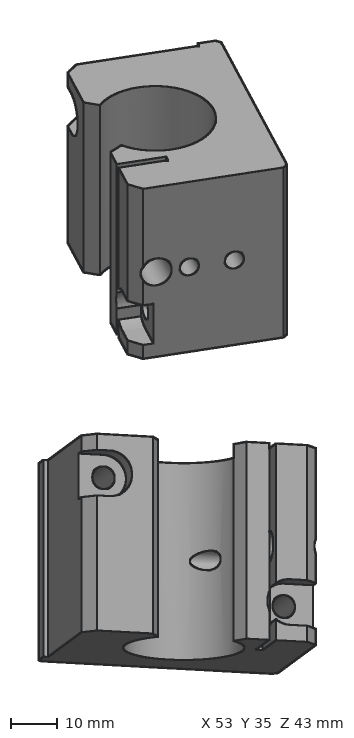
import cadquery as cq
import math

length = 53.0
depth = 35.0
height = 43.0
right = length / 2
left = -right
back = depth / 2
front = -back

ledge_step = 1.0
ledge_depth = 5.0
back_chamfer = 1.0
front_chamfer = 2.7

bore_radius = 13.0
bore_y = front + 13.0
throat_half_width = 8.4
mouth_half_width = 10.4

slot_left = 15.4
slot_width = 1.5
slot_depth = 10.95

mount_x = 20.0
mount_z = 13.0
mount_radius = 2.5
seat_radius = 5.0
seat_depth = 5.0

cross_radius = 2.1
cross_spacing = 10.0
clamp_radius = 3.4
clamp_y = front + 5.65


def box(x_min, x_max, y_min, y_max, z_min, z_max):
    """Box spanning the given limits."""
    return cq.Workplane("XY").box(
        x_max - x_min, y_max - y_min, z_max - z_min, centered=False
    ).translate((x_min, y_min, z_min))


def make_body():
    """Extrude the block profile with its open bore."""
    wall_left = left + ledge_step
    ledge_front = back - ledge_depth
    throat_y = bore_y - math.sqrt(bore_radius**2 - throat_half_width**2)
    profile = (
        cq.Workplane("XY", origin=(0, 0, -height / 2))
        .moveTo(left + back_chamfer, back)
        .lineTo(right - back_chamfer, back)
        .lineTo(right, back - back_chamfer)
        .lineTo(right, front + front_chamfer)
        .lineTo(right - front_chamfer, front)
        .lineTo(mouth_half_width, front)
        .lineTo(throat_half_width, throat_y)
        .threePointArc((0, bore_y + bore_radius), (-throat_half_width, throat_y))
        .lineTo(-mouth_half_width, front)
        .lineTo(wall_left + front_chamfer, front)
        .lineTo(wall_left, front + front_chamfer)
        .lineTo(wall_left, ledge_front)
        .lineTo(left, ledge_front)
        .lineTo(left, back - back_chamfer)
        .close()
    )
    return profile.extrude(height)


def make_slot():
    """Clamping slot, open at the front and along the full height."""
    return box(slot_left, slot_left + slot_width, front, front + slot_depth, -height / 2, height / 2)


def make_mount(side):
    """Through hole and seat at the left (side = -1) or right (side = 1)."""
    x = side * mount_x
    z = -side * mount_z
    start = cq.Vector(x, front, z)
    along_y = cq.Vector(0, 1, 0)
    hole = cq.Solid.makeCylinder(mount_radius, depth, start, along_y)
    seat_end = cq.Solid.makeCylinder(seat_radius, seat_depth, start, along_y)
    edge = side * right
    seat_run = box(min(x, edge), max(x, edge), front, front + seat_depth, z - seat_radius, z + seat_radius)
    return seat_run.union(cq.Workplane(seat_end)).union(cq.Workplane(hole))


def make_cross_hole(y, radius, inner_x):
    """Hole along X from inner_x out through the right side."""
    start = cq.Vector(inner_x, y, 0)
    return cq.Workplane(cq.Solid.makeCylinder(radius, right - inner_x, start, cq.Vector(1, 0, 0)))


result = make_body().cut(make_slot())

for side in (-1, 1):
    result = result.cut(make_mount(side))

for y in (bore_y, bore_y + cross_spacing):
    result = result.cut(make_cross_hole(y, cross_radius, 0))

result = result.cut(make_cross_hole(clamp_y, clamp_radius, slot_left + slot_width / 2))